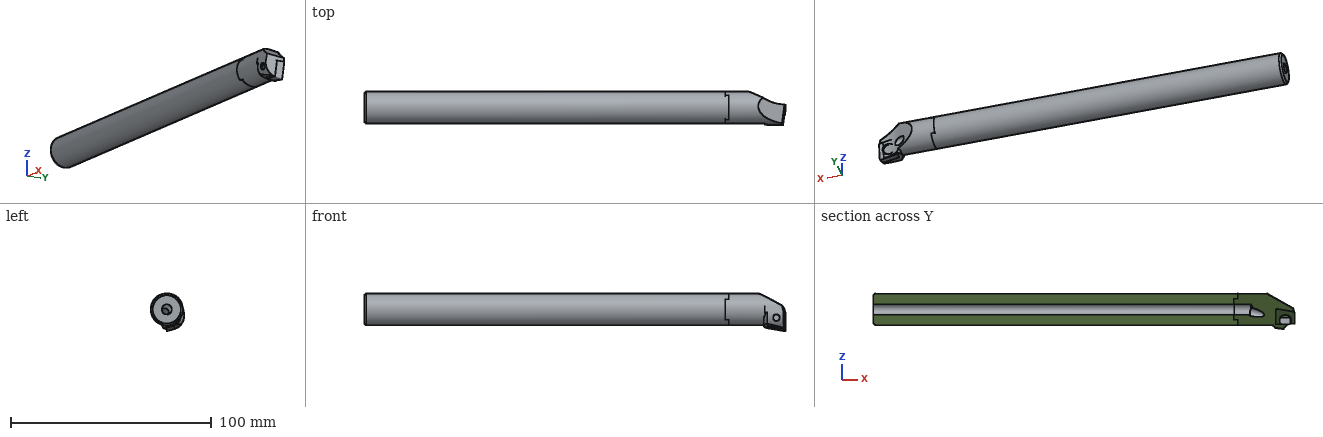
import cadquery as cq
import math

overall_length = 210.0
bar_radius = 8.0
rear_chamfer = 1.0

joint_x = 181.6
tongue_length = 1.9
tongue_width = 10.2

bore_diameter = 5.0
bore_end_x = 188.0
drill_tip_angle = 118.0
duct_diameter = 4.0
duct_start = (bore_end_x, 0.9, -1.2)
duct_direction = (12.0, 3.0, -3.0)
duct_length = 25.0

jaw_radius = 7.2
jaw_reach_y = 8.71
jaw_center = (jaw_radius - jaw_reach_y, -3.0)
jaw_start_x = 199.0
jaw_lead_in = 1.7
band_setback = 0.4
band_top_z = 1.5
band_bottom_z = -1.4

rake_tilt = 8.0
tip_reach = 10.87
rake_y = tip_reach * math.sin(math.radians(rake_tilt))
tip_z = -tip_reach * math.cos(math.radians(rake_tilt))

insert_circle = 9.525
insert_angle = 80.0
insert_thickness = 3.97
insert_relief = 7.0
insert_nose_radius = 0.8
insert_hole_diameter = 4.4
countersink_diameter = 6.1

screw_head_diameter = 5.25
screw_shank_diameter = 3.3
screw_length = 8.8

relief_inset = 0.25
end_slant_bottom_z = -1.5
end_slant_top = (208.8, 2.4)

top_slope_x = 196.2
top_slope_angle = 29.5
top_slope_tilt = 5.0
gullet_start_x = 191.0
gullet_angle = 27.5
gullet_radius = 18.0

margin = 20.0

half_angle = math.radians(insert_angle / 2)
clearance_angle = math.radians(90.0 - insert_angle)
insert_edge = insert_circle / math.sin(math.radians(insert_angle))
nose_offset = insert_nose_radius / math.sin(half_angle)
bisector = math.radians(90.0 + insert_angle / 2)
nose_center_z = tip_z + insert_nose_radius
sharp_corner = (overall_length, nose_center_z - nose_offset * math.sin(bisector))
center_distance = insert_circle / 2 / math.sin(half_angle)
insert_center = (
    sharp_corner[0] + center_distance * math.cos(bisector),
    sharp_corner[1] + center_distance * math.sin(bisector),
)


def bar(start_x, end_x):
    """Round bar of the shank diameter between two stations on X."""
    return cq.Workplane("YZ", origin=(start_x, 0, 0)).circle(bar_radius).extrude(end_x - start_x)


def tilted(body, angle=rake_tilt):
    """Turn a body from a frame tilted about the bar axis into the bar frame."""
    return body.rotate((0, 0, 0), (1, 0, 0), -angle)


def tongue():
    """Tongue of the head, running across Y behind the joint face."""
    block = cq.Workplane("XY").box(
        tongue_length, 2 * bar_radius, tongue_width, centered=(False, True, True)
    ).translate((joint_x - tongue_length, 0, 0))
    return block.intersect(bar(joint_x - tongue_length, joint_x))


def coolant_bore():
    """Straight bore from the rear face, ending in a drill point."""
    radius = bore_diameter / 2
    point_length = radius / math.tan(math.radians(drill_tip_angle / 2))
    return (
        cq.Workplane("XY")
        .polyline([(0, 0), (0, radius), (bore_end_x, radius), (bore_end_x + point_length, 0)])
        .close()
        .revolve(360, (0, 0, 0), (1, 0, 0))
    )


def coolant_duct():
    """Oblique duct from the end of the bore out through the gullet wall."""
    duct = cq.Solid.makeCylinder(
        duct_diameter / 2, duct_length, cq.Vector(*duct_start), cq.Vector(*duct_direction)
    )
    return cq.Workplane(obj=duct)


def insert_blank():
    """Solid insert without its hole: a rhombus tapering away from the rake face."""
    along_end = (0, insert_edge)
    along_side = (
        -insert_edge * math.cos(clearance_angle),
        insert_edge * math.sin(clearance_angle),
    )
    corner_x, corner_z = sharp_corner
    outline = [
        (corner_x, corner_z),
        (corner_x + along_end[0], corner_z + along_end[1]),
        (corner_x + along_end[0] + along_side[0], corner_z + along_end[1] + along_side[1]),
        (corner_x + along_side[0], corner_z + along_side[1]),
    ]
    rhombus = cq.Sketch().polygon(outline + outline[:1]).vertices().fillet(insert_nose_radius)
    return (
        cq.Workplane("XZ", origin=(0, rake_y, 0))
        .placeSketch(rhombus)
        .extrude(insert_thickness, taper=insert_relief)
    )


def turned_about_insert_axis(profile):
    """Revolve (radius, depth below the rake face) points about the insert's hole axis."""
    axis_plane = cq.Workplane("XY", origin=(insert_center[0], rake_y, insert_center[1]))
    points = [(radius, -depth) for radius, depth in profile]
    return axis_plane.polyline(points).close().revolve(360, (0, 0, 0), (0, 1, 0))


def cone_depth(diameter):
    """Depth below the rake face at which the 90 degree countersink has this diameter."""
    return (countersink_diameter - diameter) / 2


def insert_hole():
    hole_radius = insert_hole_diameter / 2
    return turned_about_insert_axis([
        (0, 0),
        (countersink_diameter / 2, 0),
        (hole_radius, cone_depth(insert_hole_diameter)),
        (hole_radius, insert_thickness),
        (0, insert_thickness),
    ])


def make_shank():
    shank = bar(0, joint_x).faces("<X").chamfer(rear_chamfer)
    return shank.cut(tongue()).cut(coolant_bore())


def jaw():
    """Eccentric round jaw with a conical lead-in and a flat band towards the bar."""
    center_y, center_z = jaw_center
    band_top_y = -math.sqrt(bar_radius**2 - band_top_z**2)
    band_bottom_y = center_y - math.sqrt(jaw_radius**2 - (band_bottom_z - center_z) ** 2)
    length = overall_length - jaw_start_x
    round_part = (
        cq.Workplane("YZ", origin=(jaw_start_x, 0, 0))
        .center(center_y, center_z)
        .circle(jaw_radius)
        .extrude(length)
        .faces("<X")
        .chamfer(jaw_lead_in)
    )
    band = (
        cq.Workplane("YZ", origin=(jaw_start_x + band_setback, 0, 0))
        .polyline([
            (0, band_top_z),
            (band_top_y, band_top_z),
            (band_bottom_y, band_bottom_z),
            jaw_center,
        ])
        .close()
        .extrude(length - band_setback)
    )
    return round_part.union(band)


def relief_envelope():
    """Tapered block whose end and underside lie just inside the insert's flanks."""
    end_x = overall_length - relief_inset
    corner_z = sharp_corner[1] + relief_inset
    rear_x = jaw_start_x - margin
    rear_z = corner_z + (end_x - rear_x) * math.tan(clearance_angle)
    block = (
        cq.Workplane("XZ", origin=(0, rake_y, 0))
        .polyline([
            (end_x, corner_z),
            (end_x, end_slant_bottom_z),
            end_slant_top,
            (end_slant_top[0], margin),
            (rear_x, margin),
            (rear_x, rear_z),
        ])
        .close()
    )
    below = block.extrude(margin / 2, taper=insert_relief)
    above = below.faces(">Y").wires().toPending().extrude(-margin / 2, combine=False)
    return tilted(below.union(above))


def top_slope_cutter():
    """Wedge removing the top of the head along the tilted slope."""
    end_x = overall_length + margin
    end_z = bar_radius - (end_x - top_slope_x) * math.tan(math.radians(top_slope_angle))
    wedge = (
        cq.Workplane("XZ", origin=(0, margin, 0))
        .polyline([(top_slope_x, bar_radius), (end_x, end_z), (end_x, margin), (top_slope_x, margin)])
        .close()
        .extrude(2 * margin)
    )
    return tilted(wedge, top_slope_tilt)


def gullet_cutter():
    """Chip gullet on the +Y side: sloping wall, rounded into a floor level with the rake face."""
    slope = math.radians(gullet_angle)
    corner_x = gullet_start_x + (bar_radius - rake_y) / math.tan(slope)
    tangent = gullet_radius * math.tan(slope / 2)
    half_bend = slope / 2
    arc_center = (corner_x + tangent, rake_y + gullet_radius)
    wall_end = (corner_x - tangent * math.cos(slope), rake_y + tangent * math.sin(slope))
    arc_middle = (
        arc_center[0] - gullet_radius * math.sin(half_bend),
        arc_center[1] - gullet_radius * math.cos(half_bend),
    )
    end_x = overall_length + margin
    wall_top_x = gullet_start_x - (margin - bar_radius) / math.tan(slope)
    cutter = (
        cq.Workplane("XY", origin=(0, 0, -margin))
        .moveTo(wall_top_x, margin)
        .lineTo(*wall_end)
        .threePointArc(arc_middle, (corner_x + tangent, rake_y))
        .lineTo(end_x, rake_y)
        .lineTo(end_x, margin)
        .close()
        .extrude(2 * margin)
    )
    return tilted(cutter)


def screw_hole():
    """Hole for the screw, right through the jaw below the insert."""
    radius = screw_shank_diameter / 2
    return tilted(turned_about_insert_axis([(0, 0), (radius, 0), (radius, margin), (0, margin)]))


def make_head():
    tip = bar(jaw_start_x, overall_length).union(jaw()).intersect(relief_envelope())
    head = bar(joint_x, jaw_start_x).union(tongue()).union(tip)
    head = head.cut(top_slope_cutter()).cut(gullet_cutter())
    head = head.cut(tilted(insert_blank())).cut(screw_hole())
    return head.cut(coolant_bore()).cut(coolant_duct())


def make_insert():
    return tilted(insert_blank().cut(insert_hole()))


def make_screw():
    """Countersunk screw resting in the insert's conical seat."""
    head_radius = screw_head_diameter / 2
    shank_radius = screw_shank_diameter / 2
    top = cone_depth(screw_head_diameter)
    seat = cone_depth(insert_hole_diameter)
    return tilted(turned_about_insert_axis([
        (0, top),
        (head_radius, top),
        (insert_hole_diameter / 2, seat),
        (shank_radius, seat),
        (shank_radius, screw_length),
        (0, screw_length),
    ]))


shank = make_shank()
head = make_head()
insert = make_insert()
screw = make_screw()

result = cq.Compound.makeCompound([shank.val(), head.val(), insert.val(), screw.val()])